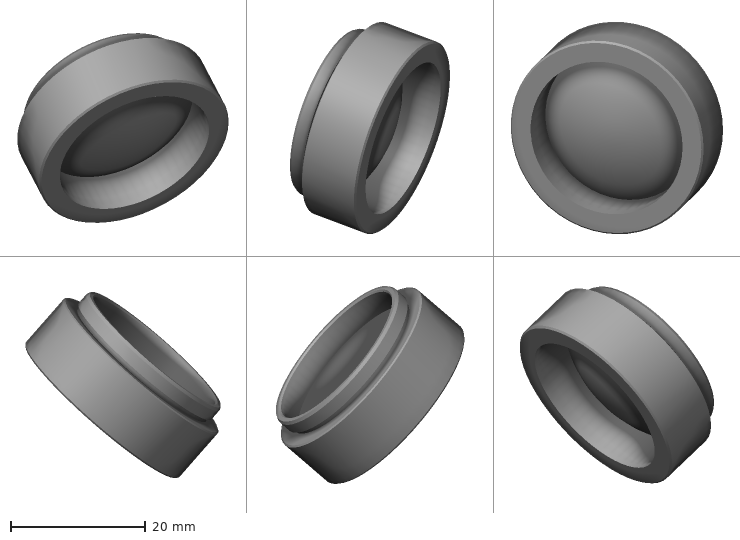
import cadquery as cq
import math


total_length = 12.28
barrel_radius = 15.25
barrel_start = 3.1
barrel_chamfer_radial = 0.27
barrel_front_chamfer_axial = 0.18
barrel_back_chamfer_axial = 0.27

nose_radius = 13.17
nose_length = 2.32
nose_chamfer_radial = 0.27
nose_chamfer_axial = 0.45
groove_radius = 12.7

bore_radius = 12.0
bore_mouth_radial = 0.25
bore_mouth_axial = 0.25

lens_flat_x = 3.8
lens_edge_thickness = 1.83
lens_focal_length = 40.0
glass_index = 1.515
lens_curvature = lens_focal_length * (glass_index - 1)
lens_sagitta = lens_curvature - math.sqrt(lens_curvature**2 - bore_radius**2)


def revolve_about_x(profile):
    """Turn a closed half-section, drawn as (axial, radial), about the X axis."""
    return profile.revolve(360, (0, 0, 0), (1, 0, 0))


def make_housing():
    """Tubular lens mount with chamfered outer edges and an open bore."""
    profile = (
        cq.Workplane("XY")
        .moveTo(0, bore_radius + bore_mouth_radial)
        .lineTo(0, nose_radius - nose_chamfer_radial)
        .lineTo(nose_chamfer_axial, nose_radius)
        .lineTo(nose_length, nose_radius)
        .lineTo(nose_length, groove_radius)
        .lineTo(barrel_start, groove_radius)
        .lineTo(barrel_start, barrel_radius - barrel_chamfer_radial)
        .lineTo(barrel_start + barrel_front_chamfer_axial, barrel_radius)
        .lineTo(total_length - barrel_back_chamfer_axial, barrel_radius)
        .lineTo(total_length, barrel_radius - barrel_chamfer_radial)
        .lineTo(total_length, bore_radius)
        .lineTo(bore_mouth_axial, bore_radius)
        .close()
    )
    return revolve_about_x(profile)


def make_lens():
    """Plano-convex lens: flat front, cylindrical edge and spherical back."""
    edge_x = lens_flat_x + lens_edge_thickness
    apex_x = edge_x + lens_sagitta
    sphere_center_x = apex_x - lens_curvature
    half_angle = math.asin(bore_radius / lens_curvature) / 2
    dome_middle = (
        sphere_center_x + lens_curvature * math.cos(half_angle),
        lens_curvature * math.sin(half_angle),
    )
    profile = (
        cq.Workplane("XY")
        .moveTo(lens_flat_x, 0)
        .lineTo(lens_flat_x, bore_radius)
        .lineTo(edge_x, bore_radius)
        .threePointArc(dome_middle, (apex_x, 0))
        .close()
    )
    return revolve_about_x(profile)


housing = make_housing()
lens = make_lens()

result = cq.Compound.makeCompound([housing.val(), lens.val()])